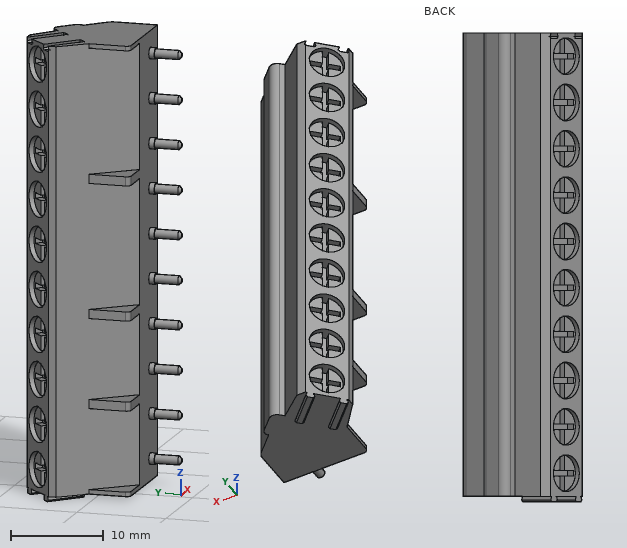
import cadquery as cq


overall_length = 50.55
tongue_height = 0.6
pole_count = 10
housing_length = overall_length - tongue_height
pitch = housing_length / pole_count

back_x = 2.75
face_low = (-10.1, 8.45)
face_size = 3.45
head_flat = 0.85
head_top_flat = 1.05
undercut_x = -4.05
back_slope_sum = 7.95
back_corner_radius = 1.0

face_high = (face_low[0] + face_size, face_low[1] + face_size)
head_under_y = face_low[1] - head_flat
head_top_x = face_high[0] + head_top_flat

bead_top_sum = 8.9
bead_left_diff = 12.4
bead_right_diff = 7.4
notch_sum = 6.75
bead_left_radius = 0.9
bead_right_radius = 0.65

foot_x = -7.75
foot_corner_radius = 0.5
foot_thickness = 1.0
inner_foot_poles = (2, 4, 7)

dovetail_spacing = 3.75
dovetail_neck = 0.75
dovetail_width = 1.0
dovetail_tip = 0.65
dovetail_tip_chamfer = 0.2
dovetail_length = 4.45
groove_clearance = 0.1

screw_diameter = 3.95
screw_recess_depth = 0.6
cross_slot_depth = 0.85
long_slot_width = 0.7
short_slot_width = 0.6
short_slot_length = 3.35

pin_diameter = 1.0
pin_length = 3.55
pin_tip_chamfer = 0.3
collar_diameter = 1.25
collar_length = 0.6

face_center = (face_low[0] + face_size / 2, face_low[1] + face_size / 2)
pole_centers = [(i + 0.5) * pitch for i in range(pole_count)]


def diagonal_point(total, difference):
    """XY point with x + y = total and y - x = difference."""
    return ((total - difference) / 2, (total + difference) / 2)


def vertical_edge_at(point):
    """Selector box around the full-height edge that passes through an XY point."""
    tolerance = 0.05
    return cq.selectors.BoxSelector(
        (point[0] - tolerance, point[1] - tolerance, -tolerance),
        (point[0] + tolerance, point[1] + tolerance, housing_length + tolerance),
    )


def make_housing():
    back_corner = (back_x, back_slope_sum - back_x)
    bead_left = diagonal_point(bead_top_sum, bead_left_diff)
    bead_right = diagonal_point(bead_top_sum, bead_right_diff)
    outline = [
        (undercut_x, 0),
        (back_x, 0),
        back_corner,
        diagonal_point(back_slope_sum, bead_right_diff),
        bead_right,
        bead_left,
        diagonal_point(notch_sum, bead_left_diff),
        (head_top_x, face_high[1]),
        face_high,
        face_low,
        (face_low[0], head_under_y),
    ]
    housing = cq.Workplane("XY").polyline(outline).close().extrude(housing_length)
    rounded_corners = [
        (back_corner, back_corner_radius),
        (bead_right, bead_right_radius),
        (bead_left, bead_left_radius),
    ]
    for corner, radius in rounded_corners:
        housing = housing.edges(vertical_edge_at(corner)).fillet(radius)
    return housing


def make_foot(bottom, thickness):
    """Triangular plate between the sloping underside and the mounting face."""
    underside_slope = head_under_y / (undercut_x - face_low[0])
    foot_y = (undercut_x - foot_x) * underside_slope
    foot = (
        cq.Workplane("XY", origin=(0, 0, bottom))
        .polyline([(undercut_x, 0), (foot_x, 0), (foot_x, foot_y)])
        .close()
        .extrude(thickness)
    )
    corner = cq.selectors.NearestToPointSelector((foot_x, 0, bottom + thickness / 2))
    return foot.edges(corner).fillet(foot_corner_radius)


def make_dovetails(end_z, clearance=0):
    """Pair of dovetail bars below end_z, running in from the screw face, widened by clearance."""
    shoulder = -(tongue_height - dovetail_tip_chamfer)
    half_profile = [
        (dovetail_neck / 2 + clearance, 0),
        (dovetail_width / 2 + clearance, shoulder),
        (dovetail_tip / 2 + clearance, -tongue_height),
    ]
    mirrored = [(-x, y) for x, y in reversed(half_profile)]
    section = cq.Plane(
        origin=(face_center[0], face_center[1], end_z),
        xDir=(1, 1, 0),
        normal=(1, -1, 0),
    )
    bars = cq.Workplane(section)
    for side in (-1, 1):
        offset = side * dovetail_spacing / 2
        profile = [(x + offset, y) for x, y in half_profile + mirrored]
        bars = bars.polyline(profile).close()
    return bars.extrude(dovetail_length)


def make_screw_recess(z):
    """Round recess with a cross slot in its floor."""
    plane = cq.Plane(
        origin=(face_center[0], face_center[1], z),
        xDir=(1, 1, 0),
        normal=(1, -1, 0),
    )
    bore = cq.Workplane(plane).circle(screw_diameter / 2)
    recess = bore.extrude(screw_recess_depth)
    floor = cq.Workplane(plane).workplane(offset=screw_recess_depth)
    short_slot = floor.rect(short_slot_length, short_slot_width).extrude(cross_slot_depth)
    long_slot = floor.rect(long_slot_width, screw_diameter).extrude(cross_slot_depth)
    round_limit = floor.circle(screw_diameter / 2).extrude(cross_slot_depth)
    return recess.union(short_slot).union(long_slot.intersect(round_limit))


def make_pin(z):
    """Solder pin with a collar, pointing along -Y."""
    base = cq.Workplane("XZ", origin=(0, 0, z))
    pin = base.circle(pin_diameter / 2).extrude(pin_length)
    pin = pin.faces("<Y").chamfer(pin_tip_chamfer)
    return pin.union(base.circle(collar_diameter / 2).extrude(collar_length))


result = make_housing()

half_foot = foot_thickness / 2
result = result.union(make_foot(0, half_foot))
result = result.union(make_foot(housing_length - half_foot, half_foot))
for poles in inner_foot_poles:
    result = result.union(make_foot(poles * pitch - half_foot, foot_thickness))

result = result.cut(make_dovetails(housing_length, groove_clearance))
result = result.union(make_dovetails(0))

for center_z in pole_centers:
    result = result.cut(make_screw_recess(center_z))
    result = result.union(make_pin(center_z))